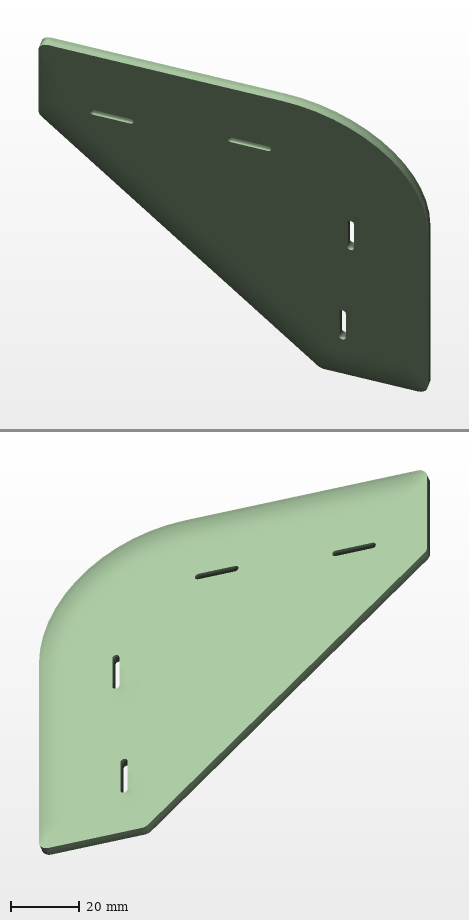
import cadquery as cq

side = 119.2
thickness = 3.0
large_radius = 44.7
small_radius = 3.0
end_edge = 32.8

slot_length = 13.4
slot_width = 2.1
outer_slot_inset = 26.1
outer_slot_distance = 22.4
inner_slot_inset = 23.6
inner_slot_distance = 64.6

half = side / 2


def make_plate():
    """Plate centred on the origin, lying in the XZ plane."""
    outline = [
        (-half, half),
        (half, half),
        (half, -half),
        (half - end_edge, -half),
        (-half, half - end_edge),
    ]
    plate = cq.Workplane("XZ").polyline(outline).close().extrude(thickness / 2, both=True)
    large_corner = cq.selectors.NearestToPointSelector((half, 0, half))
    plate = plate.edges("|Y").edges(large_corner).fillet(large_radius)
    for x, z in outline:
        if (x, z) != (half, half):
            small_corner = cq.selectors.NearestToPointSelector((x, 0, z))
            plate = plate.edges("|Y").edges(small_corner).fillet(small_radius)
    return plate


def make_slot(x, z, angle):
    """Through slot centred at (x, z); angle 0 lies along X and 90 along Z."""
    return (
        cq.Workplane("XZ")
        .center(x, z)
        .slot2D(slot_length, slot_width, angle)
        .extrude(thickness, both=True)
    )


result = make_plate()

for inset, distance in [
    (outer_slot_inset, outer_slot_distance),
    (inner_slot_inset, inner_slot_distance),
]:
    across = half - inset
    along = distance - half
    result = result.cut(make_slot(along, across, 0))
    result = result.cut(make_slot(across, along, 90))